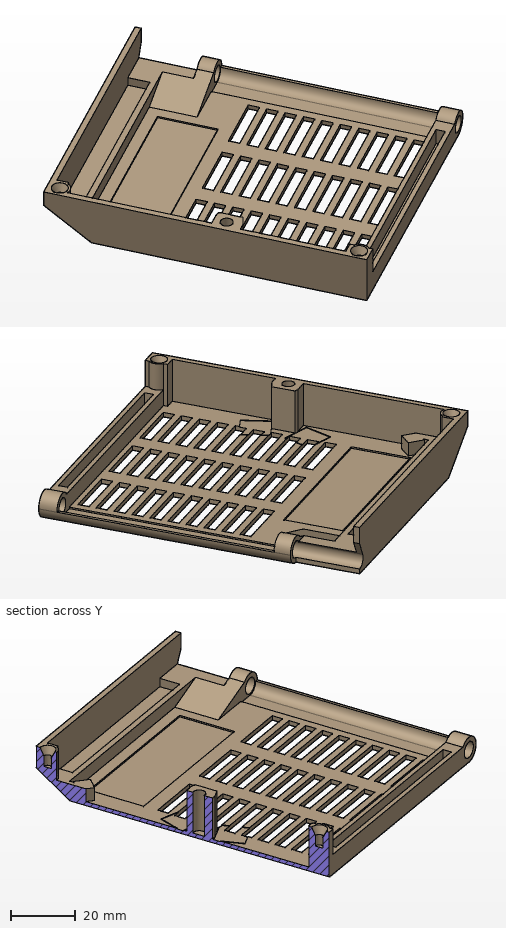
import cadquery as cq
import math

LENGTH = 105.5
HEIGHT = 16.0
WALL = 2.0
FLOOR = 1.6

HINGE_RADIUS = 4.4
PIN_RADIUS = 2.7
HINGE_Y = 87.6
HINGE_Z = HINGE_RADIUS
LEFT_KNUCKLE_START = 21.3
LEFT_KNUCKLE_END = 26.8
LIP_THICKNESS = 1.1
LIP_FLOOR_START = 82.0
NOTCH_TOP_Z = 10.4

RAIL_START = 99.4
RAIL_HEIGHT = 7.1
RAIL_SLOT_START = 101.0
RAIL_SLOT_WIDTH = 3.0
RAIL_SLOT_END_Y = 79.7

PLATFORM_END = 11.2
PLATFORM_HEIGHT = 6.1
PLATFORM_POCKET_END = 9.2
PLATFORM_POCKET_END_Y = 74.7
PLATFORM_POCKET_FLOOR = 3.2
LEDGE_START_Y = 80.9
RAMP_START_Y = 68.4
RAMP_END_Y = 84.4

POCKET_START_Y = 10.0
RECESS_START = 15.1
RECESS_WIDTH = 19.7
RECESS_END_Y = 64.8
RECESS_DEPTH = 0.5

VENT_COLUMNS = 10
VENT_ROWS = 3
VENT_START = 39.8
VENT_START_Y = 10.2
VENT_WIDTH = 3.7
VENT_LENGTH = 19.0
VENT_PITCH = 6.0
VENT_ROW_PITCH = 25.0

POST_RADIUS = 3.4
SCREW_RADIUS = 1.3
SINK_RADIUS = 2.6
SINK_DEPTH = 2.6
SCREW_DEPTH = 6.3
LEFT_POST_CENTER = (4.1, 3.5)
LEFT_POST_BLOCK = (5.8, 7.0)
RIGHT_POST_CENTER = (101.8, 3.5)
RIGHT_POST_BLOCK = (7.5, 5.8)

TAB_CENTER = 58.9
TAB_WIDTH = 9.4
TAB_END_Y = 7.8
TAB_HOLE_CENTER = (58.4, 3.9)
TAB_HOLE_RADIUS = 2.0
RELIEF_SIDE = 9.9
RELIEF_CENTER = 58.5
RELIEF_SPREAD = 8.8
RELIEF_Y = 9.1
RELIEF_TILT = 19.0
RELIEF_DEPTH = 0.2

CORNER_BLOCK_START = 10.2
CORNER_BLOCK_END = 16.1
CORNER_BLOCK_END_Y = 5.0
DIAMOND_CENTER = (16.1, 5.4)
DIAMOND_HALF_DIAGONAL = 3.8

CUT_X = 15.6
CUT_Y = 15.5
CUT_Z = 10.8


def box(x0, x1, y0, y1, z0, z1):
    """Box between two limits on each axis."""
    return cq.Workplane("XY").box(x1 - x0, y1 - y0, z1 - z0, centered=False).translate((x0, y0, z0))


def rod(radius, x0, x1):
    """Cylinder on the hinge axis."""
    return cq.Workplane("YZ", origin=(x0, 0, 0)).center(HINGE_Y, HINGE_Z).circle(radius).extrude(x1 - x0)


def along_x(points, x0, x1):
    """Closed (y, z) polygon extruded along X."""
    return cq.Workplane("YZ", origin=(x0, 0, 0)).polyline(points).close().extrude(x1 - x0)


def make_shell():
    """Floor, left wall, front wall and right rail."""
    floor = box(0, LENGTH, 0, HINGE_Y, 0, FLOOR)
    left_wall = box(0, WALL, 0, HINGE_Y, 0, HEIGHT)
    front_wall = box(0, LENGTH, 0, WALL, 0, HEIGHT)
    rail = box(RAIL_START, LENGTH, 0, HINGE_Y, 0, RAIL_HEIGHT)
    return floor.union(left_wall).union(front_wall).union(rail)


def make_ramp():
    """Wedge that rises from the floor, level with the ledge at its front edge, up to the knuckle."""
    slope = (PLATFORM_HEIGHT - FLOOR) / (LEDGE_START_Y - RAMP_START_Y)
    top_z = FLOOR + slope * (RAMP_END_Y - RAMP_START_Y)
    profile = [(RAMP_START_Y, 0), (RAMP_START_Y, FLOOR), (RAMP_END_Y, top_z), (RAMP_END_Y, 0)]
    wedge = along_x(profile, PLATFORM_END, LEFT_KNUCKLE_END)
    above_ledge = box(0, LEFT_KNUCKLE_START, LEDGE_START_Y, HINGE_Y, PLATFORM_HEIGHT, HEIGHT)
    return wedge.cut(above_ledge)


def make_platform():
    """Left platform with its pocket, joined to the ledge at the back."""
    platform = box(0, PLATFORM_END, 0, HINGE_Y, 0, PLATFORM_HEIGHT)
    pocket = box(WALL, PLATFORM_POCKET_END, POCKET_START_Y, PLATFORM_POCKET_END_Y,
                 PLATFORM_POCKET_FLOOR, PLATFORM_HEIGHT)
    ledge = box(0, LEFT_KNUCKLE_START, LEDGE_START_Y, HINGE_Y, 0, PLATFORM_HEIGHT)
    return platform.cut(pocket).union(ledge)


def make_hinge_notch():
    """Pin clearance with a tangent opening upwards, through the left wall and the ledge."""
    lean = math.asin(PIN_RADIUS / (NOTCH_TOP_Z - HINGE_Z))
    tangent_point = (HINGE_Y - PIN_RADIUS * math.cos(lean), HINGE_Z + PIN_RADIUS * math.sin(lean))
    opening = along_x([(HINGE_Y, HINGE_Z), tangent_point, (HINGE_Y, NOTCH_TOP_Z)], 0, LEFT_KNUCKLE_START)
    return rod(PIN_RADIUS, 0, LEFT_KNUCKLE_START).union(opening)


def make_lip():
    """Lower back quarter of a tube between the two knuckles."""
    quarter = box(LEFT_KNUCKLE_END, RAIL_START, HINGE_Y, HINGE_Y + HINGE_RADIUS, 0, HINGE_Z)
    return rod(HINGE_RADIUS, LEFT_KNUCKLE_END, RAIL_START).intersect(quarter)


def make_lip_clearance():
    """Trough inside the lip and the lowered floor in front of it."""
    trough = rod(HINGE_RADIUS - LIP_THICKNESS, LEFT_KNUCKLE_END, RAIL_START)
    lowered_floor = box(LEFT_KNUCKLE_END, RAIL_START, LIP_FLOOR_START, HINGE_Y, LIP_THICKNESS, HEIGHT)
    return trough.union(lowered_floor)


def make_post(center, block_start, block_size):
    """Full-height screw post: a corner block merged with a round boss."""
    boss = cq.Workplane("XY").center(*center).circle(POST_RADIUS).extrude(HEIGHT)
    return box(block_start, block_start + block_size[0], 0, block_size[1], 0, HEIGHT).union(boss)


def make_screw_hole(center):
    """Blind countersunk hole from the top of a post."""
    sink = cq.Solid.makeCone(SCREW_RADIUS, SINK_RADIUS, SINK_DEPTH, cq.Vector(*center, HEIGHT - SINK_DEPTH))
    bottom = cq.Workplane("XY", origin=(*center, HEIGHT - SCREW_DEPTH))
    pilot = bottom.circle(SCREW_RADIUS).extrude(SCREW_DEPTH)
    return pilot.union(cq.Workplane(sink))


def make_tab():
    """Full-height latch tab behind the front wall."""
    return box(TAB_CENTER - TAB_WIDTH / 2, TAB_CENTER + TAB_WIDTH / 2, 0, TAB_END_Y, 0, HEIGHT)


def make_relief(side):
    """Tilted square relief that trims a back corner of the tab; side is -1 (left) or 1 (right)."""
    relief = cq.Workplane("XY").rect(RELIEF_SIDE, RELIEF_SIDE).extrude(HEIGHT)
    relief = relief.rotate((0, 0, 0), (0, 0, 1), side * RELIEF_TILT)
    return relief.translate((RELIEF_CENTER + side * RELIEF_SPREAD, RELIEF_Y, FLOOR - RELIEF_DEPTH))


def make_corner_blocks():
    """Rectangular and diamond-shaped blocks level with the platform."""
    block = box(CORNER_BLOCK_START, CORNER_BLOCK_END, 0, CORNER_BLOCK_END_Y, 0, PLATFORM_HEIGHT)
    half = DIAMOND_HALF_DIAGONAL
    outline = [(half, 0), (0, half), (-half, 0), (0, -half)]
    diamond = cq.Workplane("XY").center(*DIAMOND_CENTER).polyline(outline).close().extrude(PLATFORM_HEIGHT)
    return block.union(diamond)


def make_vents():
    """Grid of slots through the floor."""
    vents = cq.Workplane("XY")
    for column in range(VENT_COLUMNS):
        for row in range(VENT_ROWS):
            x = VENT_START + column * VENT_PITCH
            y = VENT_START_Y + row * VENT_ROW_PITCH
            vents = vents.add(box(x, x + VENT_WIDTH, y, y + VENT_LENGTH, 0, FLOOR))
    return vents.combine()


def make_corner_cut():
    """Tetrahedron that slices off the lower front-left corner."""
    base = cq.Workplane("XY").polyline([(0, 0), (CUT_X, 0), (0, CUT_Y)]).close().extrude(CUT_Z)
    normal = cq.Vector(1 / CUT_X, 1 / CUT_Y, 1 / CUT_Z)
    slant = cq.Plane(origin=(CUT_X, 0, 0), normal=normal.toTuple())
    above = cq.Workplane(slant).rect(LENGTH, LENGTH).extrude(LENGTH)
    return base.cut(above)


tray = make_shell().union(make_platform()).union(make_ramp())
tray = tray.union(make_lip()).cut(make_lip_clearance())
knuckles = [(LEFT_KNUCKLE_START, LEFT_KNUCKLE_END), (RAIL_START, LENGTH)]
for start, end in knuckles:
    tray = tray.union(rod(HINGE_RADIUS, start, end))
for start, end in knuckles:
    tray = tray.cut(rod(PIN_RADIUS, start, end))
tray = tray.cut(make_hinge_notch())

tray = tray.union(make_tab())
for side in (-1, 1):
    tray = tray.cut(make_relief(side))
tab_hole = cq.Workplane("XY", origin=(*TAB_HOLE_CENTER, FLOOR)).circle(TAB_HOLE_RADIUS).extrude(HEIGHT)
tray = tray.cut(tab_hole)

tray = tray.union(make_corner_blocks())
tray = tray.union(make_post(LEFT_POST_CENTER, 0, LEFT_POST_BLOCK))
tray = tray.union(make_post(RIGHT_POST_CENTER, LENGTH - RIGHT_POST_BLOCK[0], RIGHT_POST_BLOCK))
for center in (LEFT_POST_CENTER, RIGHT_POST_CENTER):
    tray = tray.cut(make_screw_hole(center))
tray = tray.cut(make_corner_cut())

tray = tray.cut(box(RECESS_START, RECESS_START + RECESS_WIDTH, POCKET_START_Y, RECESS_END_Y,
                    FLOOR - RECESS_DEPTH, FLOOR))
tray = tray.cut(box(RAIL_SLOT_START, RAIL_SLOT_START + RAIL_SLOT_WIDTH, POCKET_START_Y, RAIL_SLOT_END_Y,
                    FLOOR, RAIL_HEIGHT))
result = tray.cut(make_vents())